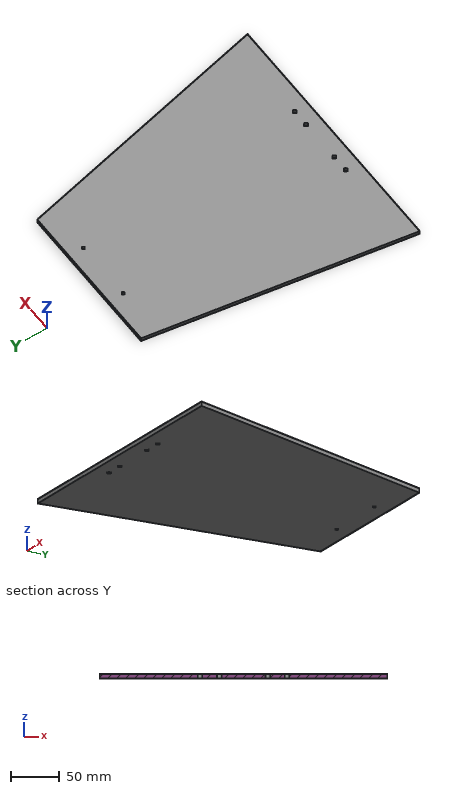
import cadquery as cq

length = 312.3
front_width = 304.0
back_width = 183.3
thickness = 5.0

back_hole_diameter = 3.0
back_hole_spacing = 70.0
back_hole_inset = 18.0
front_hole_diameter = 4.5
front_hole_inset = 17.2
front_pair_spacing = 70.0
front_pair_pitch = 20.0


def mirrored_points(distances, y):
    """Points at the given distances on both sides of the centre line."""
    return [(side * distance, y) for side in (-1, 1) for distance in distances]


plate = (
    cq.Workplane("XY")
    .polyline([
        (-front_width / 2, -length / 2),
        (front_width / 2, -length / 2),
        (back_width / 2, length / 2),
        (-back_width / 2, length / 2),
    ])
    .close()
    .extrude(thickness)
)

back_holes = (
    cq.Workplane("XY")
    .pushPoints(mirrored_points([back_hole_spacing / 2], length / 2 - back_hole_inset))
    .circle(back_hole_diameter / 2)
    .extrude(thickness)
)

front_hole_distances = [
    front_pair_spacing / 2 - front_pair_pitch / 2,
    front_pair_spacing / 2 + front_pair_pitch / 2,
]
front_holes = (
    cq.Workplane("XY")
    .pushPoints(mirrored_points(front_hole_distances, -length / 2 + front_hole_inset))
    .circle(front_hole_diameter / 2)
    .extrude(thickness)
)

result = plate.cut(back_holes).cut(front_holes)